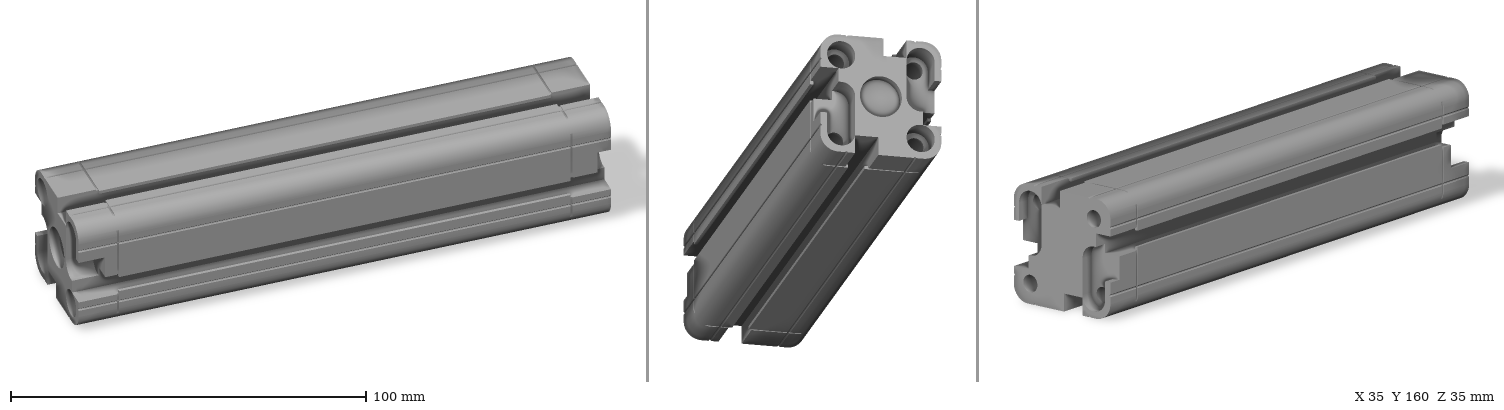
import cadquery as cq

length = 160.0
side = 35.0
corner_radius = 5.1
half_length = length / 2
half_side = side / 2

groove_offset = 8.2 / 2
groove_width = 6.7
groove_depth = 5.3
opening_width = 4.8
lip_thickness = 1.0

end_zone = 11.5
ring_width = 0.6
ring_depth = 0.3
lip_start = end_zone + ring_width

notch_offset = 10.0
notch_width = 0.8
notch_depth = 0.4

hole_offset = 11.5
hole_radius = 2.5
inner_hole_radius = 2.2
wide_hole_depth = 19.2
head_radius = 8.2 / 2
head_depth = 7.0

front_pocket_depth = 8.0
back_pocket_depth = 4.0
pocket_round_end = 0.6
pocket_wall_top = 6.0

recess_radius = 6.0
recess_depth = 3.0


def box(x_min, x_max, y_min, y_max, z_min, z_max):
    size = (x_max - x_min, y_max - y_min, z_max - z_min)
    return cq.Workplane("XY").box(*size, centered=False).translate((x_min, y_min, z_min))


def cylinder(x, z, radius, y_start, depth):
    """Round bar along +Y, starting at y_start."""
    plane = cq.Workplane("XZ", origin=(x, y_start, z))
    return plane.circle(radius).extrude(-depth)


def turned(shape, quarter_turns):
    """Turn a shape about the long axis of the bar."""
    return shape.rotate((0, 0, 0), (0, 1, 0), 90 * quarter_turns)


def make_body():
    return cq.Workplane("XY").box(side, length, side).edges("|Y").fillet(corner_radius)


def make_top_face_cuts():
    """Groove, notches and ring channels of the top face."""
    groove_left = groove_offset - groove_width / 2
    groove_right = groove_offset + groove_width / 2
    opening_left = groove_offset - opening_width / 2
    opening_right = groove_offset + opening_width / 2
    floor = half_side - groove_depth
    lip_bottom = half_side - lip_thickness

    cuts = box(groove_left, groove_right, -half_length, half_length, floor, lip_bottom)
    cuts = cuts.union(box(opening_left, opening_right, -half_length, half_length, floor, half_side))
    for y_min in (-half_length, half_length - lip_start):
        cuts = cuts.union(box(groove_left, groove_right, y_min, y_min + lip_start, floor, half_side))
    for y_min in (-half_length + end_zone, half_length - lip_start):
        channel = box(-half_side, half_side, y_min, y_min + ring_width, half_side - ring_depth, half_side)
        cuts = cuts.union(channel)
    for x in (-notch_offset, notch_offset):
        notch = (
            cq.Workplane("XZ", origin=(x, -half_length, half_side))
            .moveTo(-notch_width / 2, 0)
            .lineTo(0, -notch_depth)
            .lineTo(notch_width / 2, 0)
            .close()
            .extrude(-length)
        )
        cuts = cuts.union(notch)
    return cuts


def make_pocket(y_start, depth):
    """Slot down from the upper right hole, open to the right side below its short outer wall."""
    slot = box(
        hole_offset - head_radius, hole_offset + head_radius,
        y_start, y_start + depth, pocket_round_end, hole_offset,
    )
    side_opening = box(
        hole_offset, half_side, y_start, y_start + depth,
        pocket_round_end - head_radius, pocket_wall_top,
    )
    pocket = slot.union(side_opening)
    for z in (pocket_round_end, hole_offset):
        pocket = pocket.union(cylinder(hole_offset, z, head_radius, y_start, depth))
    return pocket


def make_pocket_corner_cuts():
    """Pockets at both ends of the upper right corner, joined by a stepped hole."""
    cuts = make_pocket(-half_length, front_pocket_depth)
    cuts = cuts.union(make_pocket(half_length - back_pocket_depth, back_pocket_depth))
    cuts = cuts.union(cylinder(hole_offset, hole_offset, inner_hole_radius, -half_length, length))
    return cuts.union(cylinder(hole_offset, hole_offset, hole_radius, -half_length, wide_hole_depth))


def make_bolt_corner_cuts():
    """Through hole of the lower right corner with a screw head bore at the front end."""
    hole = cylinder(hole_offset, -hole_offset, hole_radius, -half_length, length)
    return hole.union(cylinder(hole_offset, -hole_offset, head_radius, -half_length, head_depth))


result = make_body()
for quarter_turns in range(4):
    result = result.cut(turned(make_top_face_cuts(), quarter_turns))
for quarter_turns in (0, 2):
    result = result.cut(turned(make_pocket_corner_cuts(), quarter_turns))
    result = result.cut(turned(make_bolt_corner_cuts(), quarter_turns))
result = result.cut(cylinder(0, 0, recess_radius, -half_length, recess_depth))